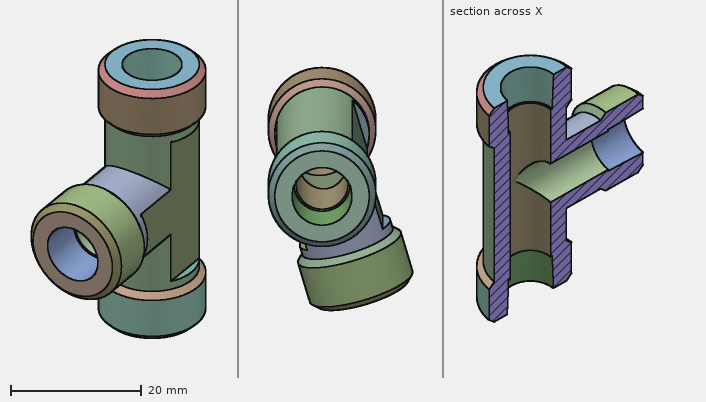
import cadquery as cq

run_length = 45.0
collar_diameter = 16.5
branch_reach = 22.5
body_diameter = 14.5
bore_diameter = 8.0

collar_length = 8.5
collar_chamfer = (collar_diameter - body_diameter) / 2

socket_mouth_diameter = 9.2
socket_floor_diameter = 8.65
socket_depth = 7.0

flat_spacing = 12.05
flat_reach = 12.55


def end_arm(length):
    """Solid arm along +Z from the origin, ending in a chamfered collar."""
    collar = (
        cq.Workplane("XY")
        .workplane(offset=length - collar_length)
        .circle(collar_diameter / 2)
        .extrude(collar_length)
        .faces("<Z or >Z")
        .chamfer(collar_chamfer)
    )
    return cq.Workplane("XY").circle(body_diameter / 2).extrude(length - collar_length / 2).union(collar)


def end_bore(length):
    """Through bore along +Z from the origin, opening into a tapered socket."""
    profile = [
        (0, 0),
        (bore_diameter / 2, 0),
        (bore_diameter / 2, length - socket_depth),
        (socket_floor_diameter / 2, length - socket_depth),
        (socket_mouth_diameter / 2, length),
        (0, length),
    ]
    return cq.Workplane("XZ").polyline(profile).close().revolve(360, (0, 0), (0, 1))


def side_cutter(side):
    """Block that trims the body to a flat on one X side (side is 1 or -1)."""
    thickness = (collar_diameter - flat_spacing) / 2
    return (
        cq.Workplane("XY")
        .box(thickness, 2 * flat_reach, 2 * flat_reach)
        .translate((side * (flat_spacing + thickness) / 2, 0, 0))
    )


def tee(make_arm):
    """Join the three arms: up, down and out along -Y."""
    half_run = run_length / 2
    up = make_arm(half_run)
    down = make_arm(half_run).rotate((0, 0, 0), (1, 0, 0), 180)
    branch = make_arm(branch_reach).rotate((0, 0, 0), (1, 0, 0), 90)
    return up.union(down).union(branch)


body = tee(end_arm)
for side in (-1, 1):
    body = body.cut(side_cutter(side))

result = body.cut(tee(end_bore))